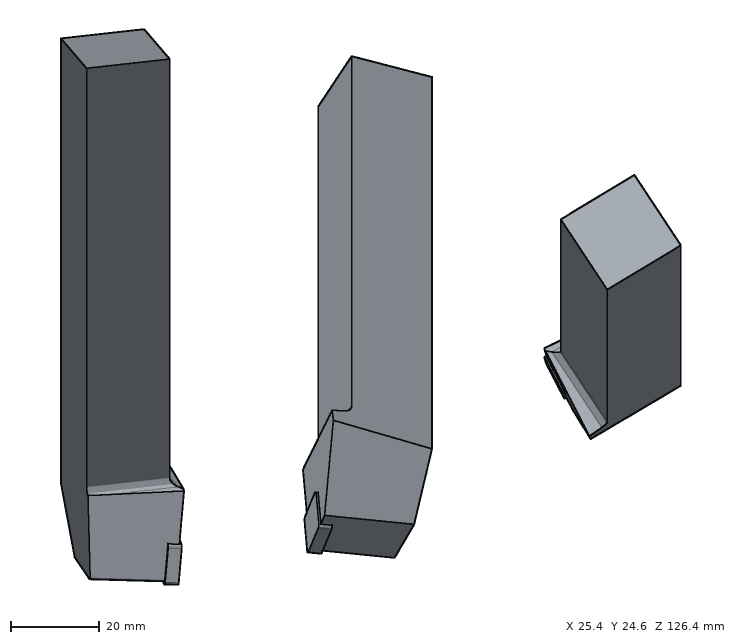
import cadquery as cq
import math

SHANK_SIDE = 19.8
SHANK_TOP = 125.0

SHOULDER_HEIGHT = 21.6
SHOULDER_SLOPE = 15.0
SHOULDER_FILLET = 2.0
HEAD_REACH = 40.0

INSERT_CIRCLE = 9.525
INSERT_THICKNESS = 3.18
NOSE_RADIUS = 0.8
NOSE_ANGLE = 80.0
EDGE_LEAD = 5.0
INSERT_RISE = 0.5

RAKE_TILT = 6.0
NOSE_X = 25.39
NOSE_Y = 19.641
NOSE_Z = -1.378

SIDE_OVERHANG = 0.62
END_OVERHANG = 0.55
HEAD_CORNER_RADIUS = 0.5
END_LENGTH = 12.05
BEVEL_ANGLE = 37.0
HEAD_TOP = 25.5

LEAD = math.radians(EDGE_LEAD)
SIDE_DIRECTION = cq.Vector(-math.sin(LEAD), math.cos(LEAD))
END_DIRECTION = cq.Vector(-math.cos(LEAD), math.sin(LEAD))


def rake_plane(rise=0.0):
    """Rake plane, local X to the right, local Y up and the normal pointing into the head."""
    tilt = math.tan(math.radians(RAKE_TILT))
    base = cq.Plane(origin=(NOSE_X, NOSE_Y, NOSE_Z), xDir=(1, -tilt, 0), normal=(-tilt, -1, tilt))
    return cq.Plane(origin=base.toWorldCoords((0, 0, -rise)), xDir=base.xDir, normal=base.zDir)


def shoulder_profile(plane):
    """Straight shank wall, tangent fillet and sloping shoulder, seen along one side of the shank."""
    slope = math.radians(SHOULDER_SLOPE)
    turn = math.pi / 2 - slope
    tangent = SHOULDER_FILLET * math.tan(turn / 2)
    fillet_start = (SHANK_SIDE, SHOULDER_HEIGHT + tangent)
    fillet_end = (
        SHANK_SIDE + tangent * math.cos(slope),
        SHOULDER_HEIGHT - tangent * math.sin(slope),
    )
    fillet_middle = (
        SHANK_SIDE + SHOULDER_FILLET * (1 - math.cos(turn / 2)),
        fillet_start[1] - SHOULDER_FILLET * math.sin(turn / 2),
    )
    outer_height = SHOULDER_HEIGHT - (HEAD_REACH - SHANK_SIDE) * math.tan(slope)
    return (
        cq.Workplane(plane)
        .moveTo(0, -HEAD_REACH)
        .lineTo(0, SHANK_TOP)
        .lineTo(SHANK_SIDE, SHANK_TOP)
        .lineTo(*fillet_start)
        .threePointArc(fillet_middle, fillet_end)
        .lineTo(HEAD_REACH, outer_height)
        .lineTo(HEAD_REACH, -HEAD_REACH)
        .close()
    )


def head_prism():
    """Side flank, end flank and clearance bevel, all square to the rake face."""
    nose_sine = math.sin(math.radians(NOSE_ANGLE))
    corner = SIDE_DIRECTION * (END_OVERHANG / nose_sine) + END_DIRECTION * (SIDE_OVERHANG / nose_sine)
    bevel_foot = corner + END_DIRECTION * END_LENGTH
    side_top_x = corner.x - (HEAD_TOP - corner.y) * math.tan(LEAD)
    bevel_top_x = bevel_foot.x - (HEAD_TOP - bevel_foot.y) * math.tan(math.radians(BEVEL_ANGLE))
    outline = [
        (corner.x, corner.y),
        (side_top_x, HEAD_TOP),
        (bevel_top_x, HEAD_TOP),
        (bevel_foot.x, bevel_foot.y),
    ]
    plane = rake_plane()
    corner_edge_middle = plane.toWorldCoords((corner.x, corner.y, HEAD_REACH / 2))
    prism = cq.Workplane(plane).polyline(outline).close().extrude(HEAD_REACH)
    corner_edge = prism.edges(cq.selectors.NearestToPointSelector(corner_edge_middle.toTuple()))
    return corner_edge.fillet(HEAD_CORNER_RADIUS)


def make_insert():
    """Rhombic plate with rounded corners, its sharp nose point at the plane's origin."""
    edge_length = INSERT_CIRCLE / math.sin(math.radians(NOSE_ANGLE))
    side_end = SIDE_DIRECTION * edge_length
    end_end = END_DIRECTION * edge_length
    far_corner = side_end + end_end
    outline = [(0, 0)] + [(point.x, point.y) for point in (side_end, far_corner, end_end)]
    plane = rake_plane(INSERT_RISE)
    blank = cq.Workplane(plane).polyline(outline).close().extrude(INSERT_THICKNESS)
    return blank.edges(cq.selectors.ParallelDirSelector(plane.zDir)).fillet(NOSE_RADIUS)


def make_holder(insert_body):
    """Shank and head in one piece, with a pocket that fits the insert."""
    side_shoulder = shoulder_profile("XZ").extrude(-HEAD_REACH)
    back_shoulder = shoulder_profile("YZ").extrude(HEAD_REACH)
    head = side_shoulder.intersect(back_shoulder).intersect(head_prism())
    shank = (
        cq.Workplane("XY", origin=(0, 0, SHOULDER_HEIGHT))
        .rect(SHANK_SIDE, SHANK_SIDE, centered=False)
        .extrude(SHANK_TOP - SHOULDER_HEIGHT)
    )
    return head.union(shank).clean().cut(insert_body)


insert = make_insert()
holder = make_holder(insert)
result = cq.Compound.makeCompound([holder.solids().val(), insert.solids().val()])